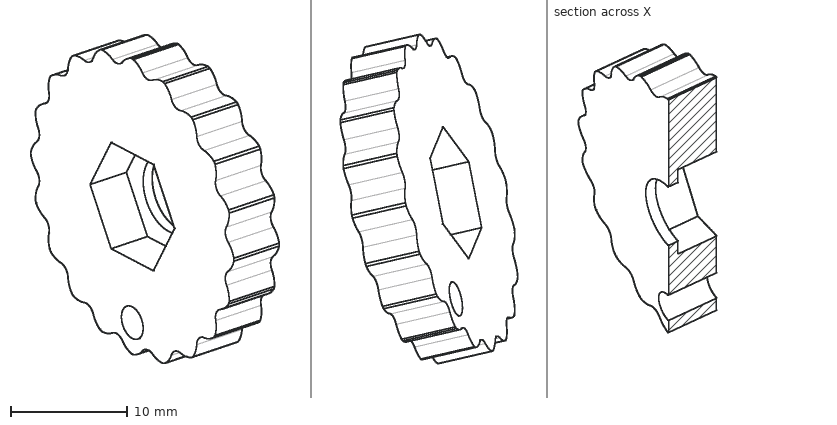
import cadquery as cq
import math

tip_radius = 14.0
thickness = 5.0
tooth_count = 20
tooth_pitch = 360 / tooth_count

tip_land_half_width = 0.15
flank_radius = 2.5
flank_foot_radius = 13.27
valley_radius = 13.0
flank_foot_angle = tooth_pitch / 3

hex_across_flats = 10.08
hex_depth = 4.0
bore_diameter = 7.0

side_hole_diameter = 3.0
side_hole_offset = 11.0


def polar_point(radius, angle):
    """Point at an angle in degrees, measured clockwise from the +Z axis."""
    angle_rad = math.radians(angle)
    return radius * math.sin(angle_rad), radius * math.cos(angle_rad)


def toothed_disc():
    """Scalloped disc: narrow tips, convex flanks and concave valleys."""
    land_half_angle = math.degrees(math.asin(tip_land_half_width / tip_radius))
    outline = cq.Workplane("XZ").moveTo(*polar_point(tip_radius, -land_half_angle))
    for tooth in range(tooth_count):
        tip = tooth * tooth_pitch
        next_tip = tip + tooth_pitch
        outline = (
            outline
            .threePointArc(polar_point(tip_radius, tip), polar_point(tip_radius, tip + land_half_angle))
            .radiusArc(polar_point(flank_foot_radius, tip + flank_foot_angle), flank_radius)
            .threePointArc(
                polar_point(valley_radius, tip + tooth_pitch / 2),
                polar_point(flank_foot_radius, next_tip - flank_foot_angle),
            )
            .radiusArc(polar_point(tip_radius, next_tip - land_half_angle), flank_radius)
        )
    return outline.close().extrude(-thickness)


def hex_pocket():
    """Blind hexagon open at the -Y face, with corners on the X axis."""
    across_corners = hex_across_flats / math.cos(math.pi / 6)
    return cq.Workplane("XZ").polygon(6, across_corners).extrude(-hex_depth)


def through_hole(diameter, z_position=0):
    """Cylinder along Y through the full thickness."""
    return cq.Workplane("XZ").center(0, z_position).circle(diameter / 2).extrude(-thickness)


result = (
    toothed_disc()
    .cut(hex_pocket())
    .cut(through_hole(bore_diameter))
    .cut(through_hole(side_hole_diameter, -side_hole_offset))
)